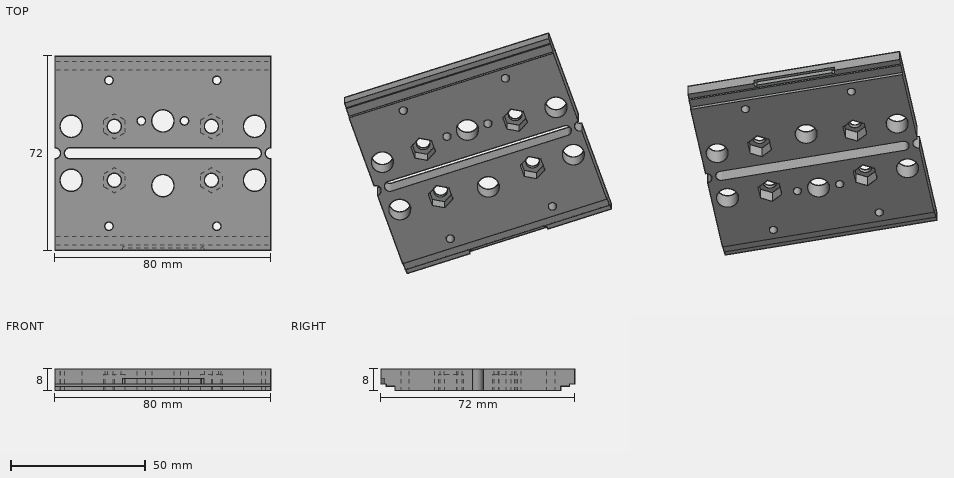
import cadquery as cq

LENGTH = 80.0
WIDTH = 72.0
THICKNESS = 8.0

OUTER_STEP = (2.0, 2.4)
INNER_STEP = (5.2, 1.5)

SLOT_WIDTH = 4.0
SLOT_LENGTH = 73.0

LARGE_DIAMETER = 8.2
LARGE_CORNER_X = 34.0
LARGE_MIDDLE_Y = 12.0
SMALL_DIAMETER = 3.0
SMALL_OUTER_X = 20.0
SMALL_OUTER_Y = 27.0
SMALL_INNER_X = 8.0

BOLT_DIAMETER = 5.1
BOLT_X = 18.0
BOLT_ROW_Y = 10.0
NUT_ACROSS_CORNERS = 9.3
NUT_SIDES = 6
NUT_ROOF = 2.0

RECESS_CENTER_X = 0.12
RECESS_LENGTH = 30.3
RECESS_DEPTH = 0.9
RECESS_TOP = 4.6
RELIEF_WIDTH = 1.0
RELIEF_DEPTH = 1.4


def mirrored(x, y):
    """Four points placed symmetrically about the X and Y axes."""
    return [(sx * x, sy * y) for sx in (-1, 1) for sy in (-1, 1)]


def stepped_plate():
    half = WIDTH / 2
    outer_inset, outer_height = OUTER_STEP
    inner_inset, inner_height = INNER_STEP
    right_side = [
        (half - inner_inset, 0),
        (half - inner_inset, inner_height),
        (half - outer_inset, inner_height),
        (half - outer_inset, outer_height),
        (half, outer_height),
        (half, THICKNESS),
    ]
    left_side = [(-y, z) for y, z in reversed(right_side)]
    return cq.Workplane("YZ").polyline(right_side + left_side).close().extrude(LENGTH / 2, both=True)


def through_holes(points, diameter):
    return cq.Workplane("XY").pushPoints(points).circle(diameter / 2).extrude(THICKNESS)


def slot_and_edge_notches():
    slot = cq.Workplane("XY").slot2D(SLOT_LENGTH, SLOT_WIDTH).extrude(THICKNESS)
    notches = through_holes([(-LENGTH / 2, 0), (LENGTH / 2, 0)], SLOT_WIDTH)
    return slot.union(notches)


def nut_pockets(points):
    hexagons = cq.Sketch().push(points).regularPolygon(NUT_ACROSS_CORNERS / 2, NUT_SIDES)
    return cq.Workplane("XY").placeSketch(hexagons).extrude(THICKNESS - NUT_ROOF)


def front_recess():
    bottom = OUTER_STEP[1]
    height = RECESS_TOP - bottom
    level = cq.Workplane("XY", origin=(RECESS_CENTER_X, -WIDTH / 2, bottom))
    recess = level.rect(RECESS_LENGTH, 2 * RECESS_DEPTH).extrude(height)
    relief_x = (RECESS_LENGTH - RELIEF_WIDTH) / 2
    reliefs = (
        level.pushPoints([(-relief_x, 0), (relief_x, 0)])
        .slot2D(2 * RELIEF_DEPTH, RELIEF_WIDTH, angle=90)
        .extrude(height)
    )
    return recess.union(reliefs)


large_holes = mirrored(LARGE_CORNER_X, BOLT_ROW_Y) + [(0, -LARGE_MIDDLE_Y), (0, LARGE_MIDDLE_Y)]
small_holes = mirrored(SMALL_OUTER_X, SMALL_OUTER_Y) + [
    (-SMALL_INNER_X, LARGE_MIDDLE_Y),
    (SMALL_INNER_X, LARGE_MIDDLE_Y),
]
bolt_holes = mirrored(BOLT_X, BOLT_ROW_Y)

result = (
    stepped_plate()
    .cut(slot_and_edge_notches())
    .cut(through_holes(large_holes, LARGE_DIAMETER))
    .cut(through_holes(small_holes, SMALL_DIAMETER))
    .cut(through_holes(bolt_holes, BOLT_DIAMETER))
    .cut(nut_pockets(bolt_holes))
    .cut(front_recess())
)